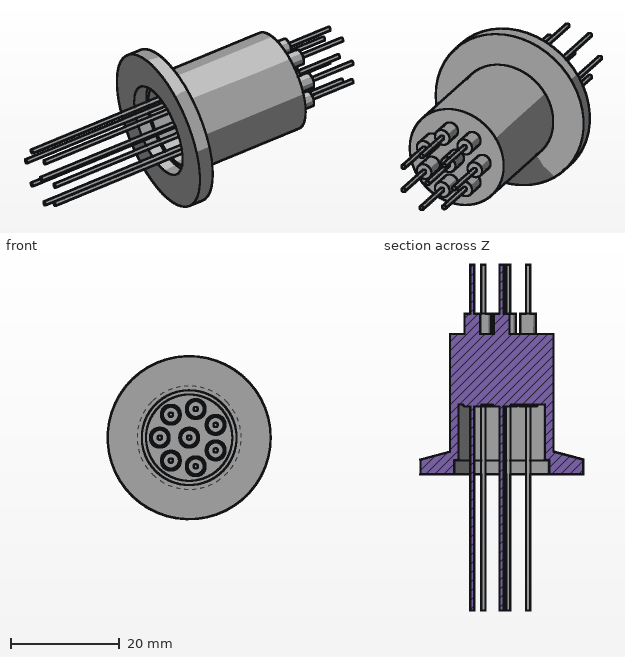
import cadquery as cq
import math

flange_diameter = 29.97
flange_rim_width = 2.75
taper_angle = 15.0
body_diameter = 19.05
body_end = 25.8
flange_radius = flange_diameter / 2
body_radius = body_diameter / 2
taper_width = (flange_radius - body_radius) * math.tan(math.radians(taper_angle))
taper_end = flange_rim_width + taper_width

mouth_diameter = 17.4
mouth_depth = 2.6
bore_diameter = 15.85
bore_depth = 12.8

pin_diameter = 0.8
pin_length = 63.5
pin_front_reach = 25.0
ring_pin_count = 7
ring_radius = 5.39
ring_start_angle = 180.0

sleeve_diameter = 2.95
sleeve_end = 29.5
collar_diameter = 3.65
collar_height = (collar_diameter - sleeve_diameter) / 2


def cylinder(diameter, start, end, center=(0, 0)):
    """Cylinder along Y between two Y positions, centred at the given (x, z)."""
    base = cq.Vector(center[0], start, center[1])
    return cq.Workplane(cq.Solid.makeCylinder(diameter / 2, end - start, base, cq.Vector(0, 1, 0)))


def make_shell():
    """Flange, taper and body turned about Y, closed at the back behind the bore."""
    outline = [
        (0, 0),
        (flange_radius, 0),
        (flange_radius, flange_rim_width),
        (body_radius, taper_end),
        (body_radius, body_end),
        (0, body_end),
    ]
    shell = cq.Workplane("XY").polyline(outline).close().revolve(360, (0, 0), (0, 1))
    shell = shell.cut(cylinder(mouth_diameter, 0, mouth_depth))
    return shell.cut(cylinder(bore_diameter, 0, bore_depth))


def pin_positions():
    """(x, z) of the central pin followed by those of the ring."""
    positions = [(0, 0)]
    for index in range(ring_pin_count):
        angle = math.radians(ring_start_angle + index * 360 / ring_pin_count)
        positions.append((ring_radius * math.cos(angle), ring_radius * math.sin(angle)))
    return positions


def make_collar(center):
    """Conical collar standing on the bore floor and narrowing toward the flange."""
    base = cq.Vector(center[0], bore_depth, center[1])
    toward_flange = cq.Vector(0, -1, 0)
    cone = cq.Solid.makeCone(
        collar_diameter / 2, sleeve_diameter / 2, collar_height, base, toward_flange
    )
    return cq.Workplane(cone)


def make_feedthrough(center):
    """Pin with its collar at the bore floor and its sleeve behind the body."""
    pin = cylinder(pin_diameter, -pin_front_reach, pin_length - pin_front_reach, center)
    sleeve = cylinder(sleeve_diameter, bore_depth, sleeve_end, center)
    return pin.union(sleeve).union(make_collar(center))


result = make_shell()
for position in pin_positions():
    result = result.union(make_feedthrough(position))